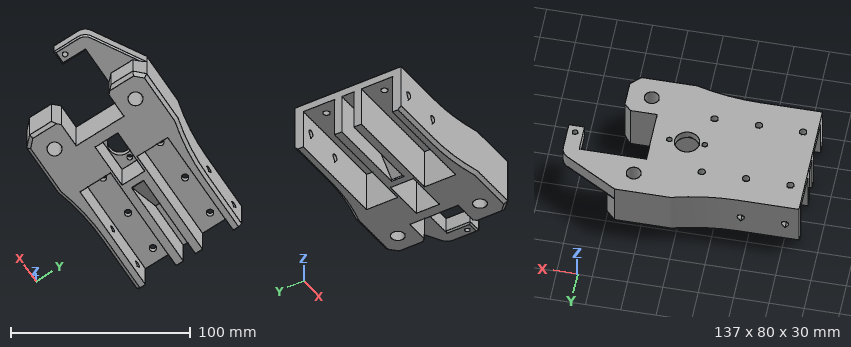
import cadquery as cq
import math

height = 30.0
body_length = 109.0
arm_reach = 137.0
rear_half_width = 35.0
front_half_width = 40.0
plate_thickness = 5.0
cavity_height = height - plate_thickness
underside_chamfer = 2.0

straight_side_length = 35.1
hollow_radius = 135.0
crown_radius = 5.0

notch_start = 90.0
notch_half_width = 15.9
outer_corner_cut = 5.6
inner_corner_cut = 4.0

arm_thickness = 10.0
arm_chamfer = 1.0
prong_width = 9.0
prong_end_y = 0.1
slant_angle = math.radians(30)
prong_hole_inset = 4.7
elbow_radius = 15.0 / 2

socket_width = 20.4
socket_length = 66.0
socket_y = 19.0
rail_hole_diameter = 4.0
rail_hole_pitch = 25.1
first_rail_hole_x = 8.0
rail_hole_count = 3
side_hole_count = 2
side_hole_z = height - 15.1
side_hole_tip_drop = 3.4

hub_x = 70.0
hub_diameter = 14.0
hub_screw_offset = 10.0
screw_hole_diameter = 3.0
chamber_length = 27.1
chamber_width = 15.1

channel_width = 8.0
channel_length = 52.0
channel_lip = 1.1

fork_hole_diameter = 8.2
fork_hole_x = 95.1
fork_hole_y = 27.0


def body_outline():
    """Symmetric fork outline, without the arm and before the notch is cut."""
    radius_sum = hollow_radius + crown_radius
    widening = front_half_width - rear_half_width
    curve_length = math.sqrt(radius_sum**2 - (radius_sum - widening) ** 2)
    turn = math.asin(curve_length / radius_sum)
    crown_x = straight_side_length + curve_length
    hollow_center_y = rear_half_width + hollow_radius
    crown_center_y = front_half_width - crown_radius

    def on_hollow(angle):
        return (
            straight_side_length + hollow_radius * math.sin(angle),
            hollow_center_y - hollow_radius * math.cos(angle),
        )

    def on_crown(angle):
        return (
            crown_x - crown_radius * math.sin(angle),
            crown_center_y + crown_radius * math.cos(angle),
        )

    def mirrored(point):
        return (point[0], -point[1])

    side_start = (straight_side_length, rear_half_width)
    hollow_middle = on_hollow(turn / 2)
    hollow_end = on_hollow(turn)
    crown_middle = on_crown(turn / 2)
    crown_end = (crown_x, front_half_width)
    corner_start = (body_length - outer_corner_cut, front_half_width)
    corner_end = (body_length, front_half_width - outer_corner_cut)

    return (
        cq.Workplane("XY")
        .moveTo(0, -rear_half_width)
        .lineTo(0, rear_half_width)
        .lineTo(*side_start)
        .threePointArc(hollow_middle, hollow_end)
        .threePointArc(crown_middle, crown_end)
        .lineTo(*corner_start)
        .lineTo(*corner_end)
        .lineTo(*mirrored(corner_end))
        .lineTo(*mirrored(corner_start))
        .lineTo(*mirrored(crown_end))
        .threePointArc(mirrored(crown_middle), mirrored(hollow_end))
        .threePointArc(mirrored(hollow_middle), mirrored(side_start))
        .close()
    )


def make_body():
    body = body_outline().extrude(height)
    body = body.faces("<Z").edges("not(<X)").chamfer(underside_chamfer)
    mouth = [
        (notch_start, -notch_half_width),
        (body_length - inner_corner_cut, -notch_half_width),
        (body_length, -notch_half_width - inner_corner_cut),
        (body_length, notch_half_width + inner_corner_cut),
        (body_length - inner_corner_cut, notch_half_width),
        (notch_start, notch_half_width),
    ]
    return body.cut(cq.Workplane("XY").polyline(mouth).close().extrude(height))


def make_arm():
    slant_start_x = body_length - outer_corner_cut
    slant_end_y = front_half_width - (arm_reach - slant_start_x) * math.tan(slant_angle)
    prong_start = arm_reach - prong_width
    corners = [
        (notch_start, notch_half_width),
        (notch_start, front_half_width),
        (slant_start_x, front_half_width),
        (arm_reach, slant_end_y),
        (arm_reach, prong_end_y),
        (prong_start, prong_end_y),
        (prong_start, notch_half_width),
    ]
    arm = (
        cq.Workplane("XY", origin=(0, 0, height - arm_thickness))
        .polyline(corners)
        .close()
        .extrude(arm_thickness)
    )
    elbow = cq.selectors.NearestToPointSelector((arm_reach, slant_end_y, height))
    arm = arm.edges("|Z").edges(elbow).fillet(elbow_radius)
    beyond_body = cq.selectors.BoxSelector(
        (slant_start_x, prong_end_y - arm_chamfer, 0),
        (arm_reach + arm_chamfer, front_half_width, height),
    )
    notch_edge = cq.selectors.NearestToPointSelector(
        ((notch_start + prong_start) / 2, notch_half_width, height - arm_thickness)
    )
    return arm.faces("<Z").edges(beyond_body - notch_edge).chamfer(arm_chamfer)


def block(x_start, x_end, width, y_center=0.0):
    """Cavity of the common depth, open at the underside."""
    return (
        cq.Workplane("XY")
        .center((x_start + x_end) / 2, y_center)
        .rect(x_end - x_start, width)
        .extrude(cavity_height)
    )


def make_channel():
    ramp_run = cavity_height - channel_lip
    profile = [
        (0, 0),
        (channel_length, 0),
        (channel_length, channel_lip),
        (channel_length - ramp_run, cavity_height),
        (0, cavity_height),
    ]
    return cq.Workplane("XZ").polyline(profile).close().extrude(channel_width / 2, both=True)


def vertical_holes(points, diameter):
    return cq.Workplane("XY").pushPoints(points).circle(diameter / 2).extrude(height)


def side_hole(x, side):
    """Teardrop hole from a socket out through one outer wall, pointing towards the underside."""
    radius = rail_hole_diameter / 2
    tangent_z = -(radius**2) / side_hole_tip_drop
    tangent_x = math.sqrt(radius**2 - tangent_z**2)
    return (
        cq.Workplane("XZ", origin=(x, side * socket_y, side_hole_z))
        .moveTo(0, -side_hole_tip_drop)
        .lineTo(tangent_x, tangent_z)
        .threePointArc((0, radius), (-tangent_x, tangent_z))
        .close()
        .extrude(-side * (front_half_width - socket_y))
    )


rail_hole_xs = [first_rail_hole_x + i * rail_hole_pitch for i in range(rail_hole_count)]
prong_hole = (arm_reach - prong_width / 2, prong_end_y + prong_hole_inset)
chamber_start = hub_x - chamber_length / 2

result = make_body().union(make_arm())
result = result.cut(make_channel())
result = result.cut(block(chamber_start, chamber_start + chamber_length, chamber_width))
result = result.cut(vertical_holes([(hub_x, 0)], hub_diameter))
result = result.cut(vertical_holes([prong_hole], screw_hole_diameter))

for side in (-1, 1):
    rail_holes = [(x, side * socket_y) for x in rail_hole_xs]
    result = result.cut(block(0, socket_length, socket_width, side * socket_y))
    result = result.cut(vertical_holes(rail_holes, rail_hole_diameter))
    for x in rail_hole_xs[:side_hole_count]:
        result = result.cut(side_hole(x, side))
    result = result.cut(vertical_holes([(fork_hole_x, side * fork_hole_y)], fork_hole_diameter))
    result = result.cut(vertical_holes([(hub_x + side * hub_screw_offset, 0)], screw_hole_diameter))